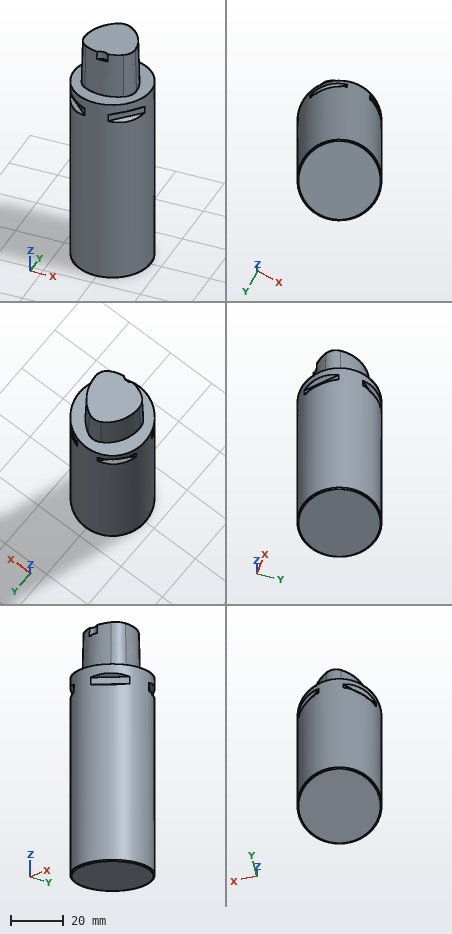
import cadquery as cq
import math

total_height = 99.0
shank_height = 19.0
body_height = total_height - shank_height
body_diameter = 32.0
body_radius = body_diameter / 2
bottom_chamfer = 0.5

lobe_center_radius = 5.7
lobe_radius = 6.0
taper_ratio = 1 / 40

notch_width = 4.6
notch_height = 3.3
notch_floor_distance = 8.8
notch_radius = 3.4

groove_count = 4
groove_start_angle = 45.0
groove_floor_distance = 14.2
groove_floor_height = 2.8
groove_mouth_height = 4.8
groove_center_drop = 6.0


def polar(radius, degrees, center=(0.0, 0.0)):
    """Point at a radius and angle around a center."""
    angle = math.radians(degrees)
    return (center[0] + radius * math.cos(angle), center[1] + radius * math.sin(angle))


def lobed_outline(workplane, small_radius):
    """Constant-width outline of three lobe arcs joined by three tangent flank arcs."""
    large_radius = small_radius + math.sqrt(3) * lobe_center_radius
    outline = workplane.moveTo(*polar(small_radius, 60, (0.0, lobe_center_radius)))
    for direction in (90, 210, 330):
        lobe_center = polar(lobe_center_radius, direction)
        opposite_center = polar(lobe_center_radius, direction + 240)
        next_center = polar(lobe_center_radius, direction + 120)
        outline = outline.threePointArc(
            polar(small_radius, direction, lobe_center),
            polar(small_radius, direction + 30, lobe_center),
        )
        outline = outline.threePointArc(
            polar(large_radius, direction + 60, opposite_center),
            polar(small_radius, direction + 90, next_center),
        )
    return outline.close()


def make_body():
    body = cq.Workplane("XY").circle(body_radius).extrude(body_height)
    return body.faces("<Z").edges().chamfer(bottom_chamfer)


def make_shank():
    foot = lobed_outline(cq.Workplane("XY").workplane(offset=body_height), lobe_radius)
    top_radius = lobe_radius - shank_height * taper_ratio
    top = lobed_outline(foot.workplane(offset=shank_height), top_radius)
    return top.loft(ruled=True)


def make_notch():
    """Round-backed cutter kept to the notch width."""
    center_y = -(notch_floor_distance + notch_radius)
    base = cq.Workplane("XY").workplane(offset=total_height - notch_height)
    cylinder = base.center(0, center_y).circle(notch_radius).extrude(notch_height)
    slab = base.center(0, center_y).rect(notch_width, 2 * notch_radius).extrude(notch_height)
    return cylinder.intersect(slab)


def make_groove():
    """Trapezoidal cutter running along Y, on the +X side."""
    middle_z = body_height - groove_center_drop
    half_floor = groove_floor_height / 2
    half_mouth = groove_mouth_height / 2
    return (
        cq.Workplane("XZ")
        .moveTo(groove_floor_distance, middle_z - half_floor)
        .lineTo(body_radius, middle_z - half_mouth)
        .lineTo(body_radius, middle_z + half_mouth)
        .lineTo(groove_floor_distance, middle_z + half_floor)
        .close()
        .extrude(body_radius, both=True)
    )


result = make_body().union(make_shank()).cut(make_notch())
for index in range(groove_count):
    groove_angle = groove_start_angle + index * 360 / groove_count
    result = result.cut(make_groove().rotate((0, 0, 0), (0, 0, 1), groove_angle))